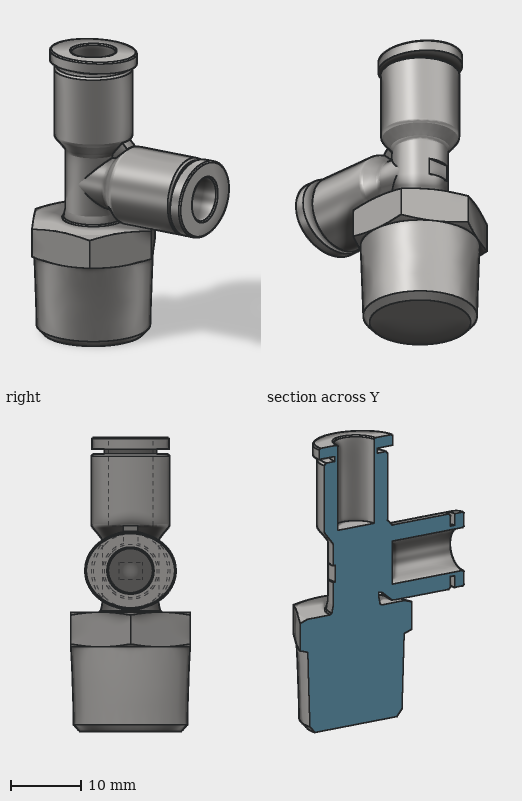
import cadquery as cq
import math

total_height = 41.85
arm_reach = 18.95
branch_height = total_height - arm_reach

thread_bottom_radius = 8.1
thread_top_radius = 8.5
thread_chamfer_height = 1.0
thread_chamfer_inset = 0.9

hex_sides = 6
hex_across_flats = 17.0
hex_bottom = 12.05
hex_top = 17.0
hex_crown_radius = hex_across_flats / 2
hex_crown_drop = 0.4

stem_radius = 4.0
collar_start = 18.35
collar_end = 17.2
collar_radius = 4.25
collar_foot_radius = 4.48
flat_offset = 3.65
flat_height = 2.43

body_radius = 5.6
body_end = 16.6
body_chamfer = 0.35
cone_start = 4.45
cone_end = 6.35
cone_blend = 0.85
neck_radius = 3.75
ring_thickness = 1.67
ring_long_radius = 6.5
ring_short_radius = 5.5
ring_chamfer = 0.2
bore_radius = 3.15
bore_chamfer = 0.2
bore_floor = cone_end

web_thickness = 2.0


def revolve_profile(points):
    """Solid of revolution about Z from (radius, height) points that start and end on the axis."""
    return cq.Workplane("XZ").polyline(points).close().revolve(360, (0, 0, 0), (0, 1, 0))


def make_thread():
    return revolve_profile([
        (0, 0),
        (thread_bottom_radius - thread_chamfer_inset, 0),
        (thread_bottom_radius, thread_chamfer_height),
        (thread_top_radius, hex_bottom),
        (0, hex_bottom),
    ])


def make_hexagon():
    corner_radius = hex_across_flats / 2 / math.cos(math.pi / hex_sides)
    prism = (
        cq.Workplane("XY")
        .workplane(offset=hex_bottom)
        .polygon(hex_sides, 2 * corner_radius)
        .extrude(hex_top - hex_bottom)
    )
    crown = revolve_profile([
        (0, hex_bottom),
        (hex_crown_radius, hex_bottom),
        (corner_radius, hex_bottom + hex_crown_drop),
        (corner_radius, hex_top - hex_crown_drop),
        (hex_crown_radius, hex_top),
        (0, hex_top),
    ])
    return prism.intersect(crown)


def make_stem():
    return revolve_profile([
        (0, hex_top),
        (collar_foot_radius, hex_top),
        (collar_radius, collar_end),
        (stem_radius, collar_start),
        (stem_radius, branch_height),
        (0, branch_height),
    ])


def make_arm():
    """Arm along +Z from the origin, with the long axis of its release ring along X."""
    ring_start = arm_reach - ring_thickness
    body = revolve_profile([
        (0, 0),
        (stem_radius, 0),
        (stem_radius, cone_start),
        (body_radius, cone_end),
        (body_radius, body_end),
        (0, body_end),
    ])
    body = body.faces(">Z").edges().chamfer(body_chamfer)
    for height in (cone_start, cone_end):
        body = body.edges(cq.NearestToPointSelector((0, 0, height))).fillet(cone_blend)
    neck = cq.Workplane("XY").workplane(offset=body_end).circle(neck_radius).extrude(ring_start - body_end)
    ring = (
        cq.Workplane("XY")
        .workplane(offset=ring_start)
        .ellipse(ring_long_radius, ring_short_radius)
        .extrude(ring_thickness)
        .faces(">Z")
        .edges()
        .chamfer(ring_chamfer)
    )
    return body.union(neck).union(ring)


def make_bore():
    """Tube bore for an arm along +Z from the origin."""
    return revolve_profile([
        (0, bore_floor),
        (bore_radius, bore_floor),
        (bore_radius, arm_reach - bore_chamfer),
        (bore_radius + bore_chamfer, arm_reach),
        (0, arm_reach),
    ])


def place_on_run(shape):
    return shape.translate((0, 0, branch_height))


def place_on_branch(shape):
    """Lay an arm along +X with the long axis of its ring along Y."""
    return (
        shape.rotate((0, 0, 0), (0, 0, 1), 90)
        .rotate((0, 0, 0), (0, 1, 0), 90)
        .translate((0, 0, branch_height))
    )


def make_web():
    """Plate in the corner between the arms, closed by a straight 45 degree edge."""
    return (
        cq.Workplane("XZ")
        .polyline([(0, 0), (cone_end, 0), (cone_end, body_radius), (body_radius, cone_end), (0, cone_end)])
        .close()
        .extrude(web_thickness / 2, both=True)
        .translate((0, 0, branch_height))
    )


def make_marking_flat():
    """Cutter for the shallow flat on the -X side of the stem, level with the branch."""
    depth = stem_radius
    return (
        cq.Workplane("XY")
        .box(depth, 2 * stem_radius, flat_height)
        .translate((-flat_offset - depth / 2, 0, branch_height))
    )


result = make_thread().union(make_hexagon()).union(make_stem())
for place in (place_on_run, place_on_branch):
    result = result.union(place(make_arm()))
result = result.union(make_web()).cut(make_marking_flat())
for place in (place_on_run, place_on_branch):
    result = result.cut(place(make_bore()))